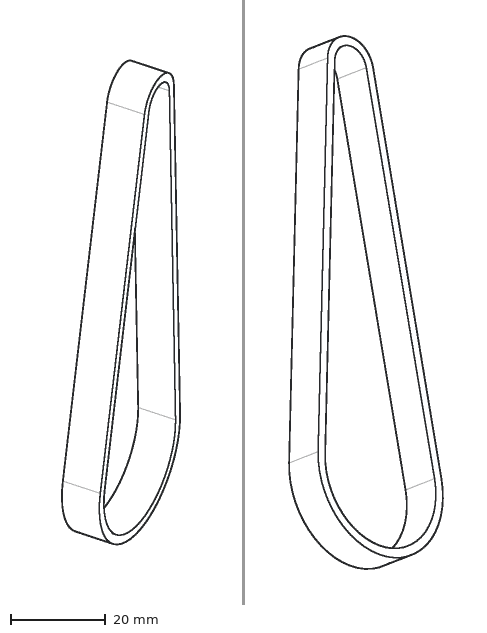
import cadquery as cq
import math

height = 115.0
width = 9.0
wall = 2.1
large_radius = 18.0
small_radius = 6.7
small_end_offset = 8.6

large_centre = (0.0, 0.0)
small_centre = (small_end_offset, height - large_radius - small_radius)


def point_on_circle(centre, radius, angle):
    return (
        centre[0] + radius * math.cos(angle),
        centre[1] + radius * math.sin(angle),
    )


def belt_body(inset):
    """Solid bounded by two arcs and their outer tangents, moved inward by inset."""
    large = large_radius - inset
    small = small_radius - inset
    rise = small_centre[1] - large_centre[1]
    run = small_centre[0] - large_centre[0]
    axis_angle = math.atan2(rise, run)
    tangent_angle = math.acos((large - small) / math.hypot(run, rise))
    right = axis_angle - tangent_angle
    left = axis_angle + tangent_angle
    return (
        cq.Workplane("YZ")
        .moveTo(*point_on_circle(large_centre, large, right))
        .lineTo(*point_on_circle(small_centre, small, right))
        .threePointArc(
            point_on_circle(small_centre, small, axis_angle),
            point_on_circle(small_centre, small, left),
        )
        .lineTo(*point_on_circle(large_centre, large, left))
        .threePointArc(
            point_on_circle(large_centre, large, axis_angle + math.pi),
            point_on_circle(large_centre, large, right),
        )
        .close()
        .extrude(width / 2, both=True)
    )


result = belt_body(0.0).cut(belt_body(wall))